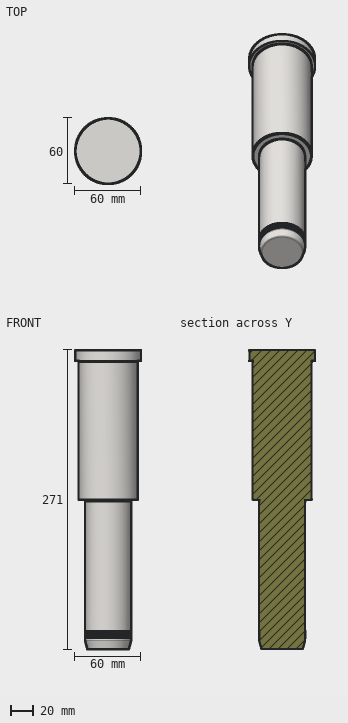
import cadquery as cq
import math

total_length = 271.0
head_diameter = 60.0
head_height = 10.0
body_diameter = 54.0
body_bottom_z = 135.0
pin_diameter = 42.0

head_chamfer = 0.5
body_chamfer = 0.8
tip_fillet = 0.8

relief_height = 1.0
relief_depth = 0.3

lead_in_height = 7.9
lead_in_angle = 15.0

groove_count = 3
groove_width = 0.8
groove_depth = 0.3
groove_pitch = 2.7
lowest_groove_z = 10.8

head_bottom_z = total_length - head_height
tip_diameter = pin_diameter - 2 * lead_in_height * math.tan(math.radians(lead_in_angle))


def cylinder(diameter, bottom_z, top_z):
    """Cylinder on the Z axis between two heights."""
    return cq.Workplane("XY").workplane(offset=bottom_z).circle(diameter / 2).extrude(top_z - bottom_z)


def ring(diameter, depth, bottom_z, top_z):
    """Ring of material to remove for a groove of the given depth."""
    outer = cylinder(diameter + 2 * depth, bottom_z, top_z)
    return outer.cut(cylinder(diameter - 2 * depth, bottom_z, top_z))


def head():
    """Flat collar at the top with a broken top edge."""
    collar = cylinder(head_diameter, head_bottom_z, total_length)
    return collar.faces(">Z").edges().chamfer(head_chamfer)


def body():
    """Thick shank with a chamfered lower edge and a relief under the head."""
    shank = cylinder(body_diameter, body_bottom_z, head_bottom_z)
    shank = shank.faces("<Z").edges().chamfer(body_chamfer)
    return shank.cut(ring(body_diameter, relief_depth, head_bottom_z - relief_height, head_bottom_z))


def pin():
    """Slim guide pin with a conical lead-in, a rounded tip edge, ring grooves and a relief."""
    shank = (
        cq.Workplane("XZ")
        .lineTo(tip_diameter / 2, 0)
        .lineTo(pin_diameter / 2, lead_in_height)
        .lineTo(pin_diameter / 2, body_bottom_z)
        .lineTo(0, body_bottom_z)
        .close()
        .revolve(360, (0, 0), (0, 1))
    )
    shank = shank.faces("<Z").edges().fillet(tip_fillet)
    for index in range(groove_count):
        center_z = lowest_groove_z + index * groove_pitch
        bottom_z = center_z - groove_width / 2
        shank = shank.cut(ring(pin_diameter, groove_depth, bottom_z, bottom_z + groove_width))
    return shank.cut(ring(pin_diameter, relief_depth, body_bottom_z - relief_height, body_bottom_z))


result = head().union(body()).union(pin())